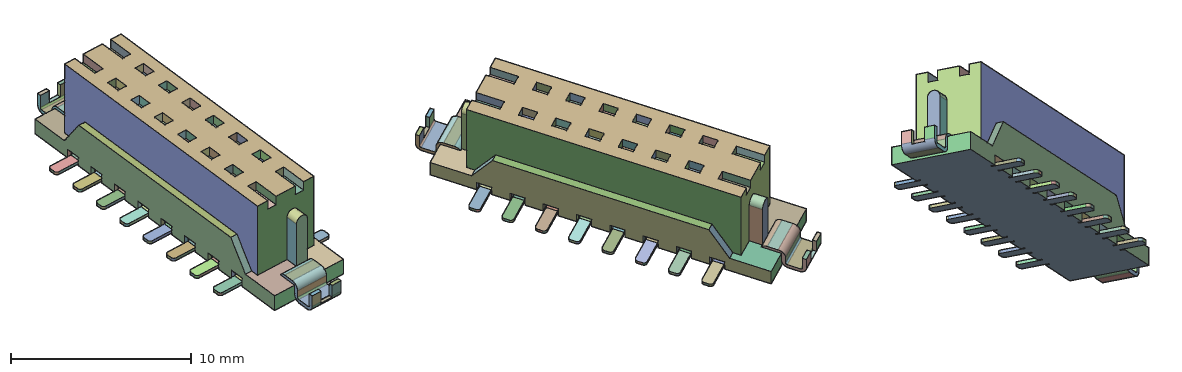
import cadquery as cq

CONTACTS_PER_ROW = 8
PITCH = 2.0
ROW_SPACING = 2.0

BASE_LENGTH = 20.5
BASE_WIDTH = 5.0
BASE_HEIGHT = 1.05
TOWER_LENGTH = 16.5
TOWER_WIDTH = 4.1
TOTAL_HEIGHT = 5.95
SKIRT_HEIGHT = 2.9
SKIRT_BOTTOM_LENGTH = 15.5
SKIRT_TOP_LENGTH = 13.0

OPENING_LENGTH = 0.9
OPENING_WIDTH = 0.6
OPENING_DEPTH = 0.6

RIB_WIDTH = 0.8
RIB_PROJECTION = 0.8
RIB_TOP = 4.45
RIB_OFFSET_Y = 0.5

TAIL_SPAN = 8.0
TAIL_WIDTH = 0.7
TAIL_THICKNESS = 0.2
TAIL_CORNER_RADIUS = 0.2
TAIL_RAMP_RISE = 0.1
TAIL_RAMP_RUN = 0.1
POCKET_WIDTH = 0.9
POCKET_HEIGHT = 0.6
POCKET_BACK_HEIGHT = TAIL_THICKNESS + TAIL_RAMP_RISE
POCKET_DEPTH = 0.25

CLIP_SPAN = 23.5
CLIP_WIDTH = 2.1
CLIP_THICKNESS = 0.25
CLIP_LEG_TOP = 1.2
CLIP_ROOF_TOP = 1.25
CLIP_HOOK_X = 8.95
CLIP_OUTER_BEND = 0.45
CLIP_INNER_BEND = 0.1
NOTCH_WIDTH = 0.8
NOTCH_BOTTOM = 0.35

contact_xs = [(i - (CONTACTS_PER_ROW - 1) / 2) * PITCH for i in range(CONTACTS_PER_ROW)]


def box(x_min, x_max, y_min, y_max, z_min, z_max):
    size = (x_max - x_min, y_max - y_min, z_max - z_min)
    return cq.Workplane("XY").box(*size, centered=False).translate((x_min, y_min, z_min))


def centered_block(length, width, height):
    return cq.Workplane("XY").box(length, width, height, centered=(True, True, False))


def make_skirt():
    """Trapezoidal side walls standing on the base along the tower."""
    half_bottom = SKIRT_BOTTOM_LENGTH / 2
    half_top = SKIRT_TOP_LENGTH / 2
    outline = [
        (-half_bottom, BASE_HEIGHT),
        (half_bottom, BASE_HEIGHT),
        (half_top, SKIRT_HEIGHT),
        (-half_top, SKIRT_HEIGHT),
    ]
    return cq.Workplane("XZ").polyline(outline).close().extrude(BASE_WIDTH / 2, both=True)


def make_rib():
    """Round-topped keying rib on the +X end face of the tower."""
    radius = RIB_WIDTH / 2
    shoulder = RIB_TOP - radius
    return (
        cq.Workplane("YZ", origin=(TOWER_LENGTH / 2, RIB_OFFSET_Y, 0))
        .moveTo(-radius, 0)
        .lineTo(radius, 0)
        .lineTo(radius, shoulder)
        .threePointArc((0, RIB_TOP), (-radius, shoulder))
        .close()
        .extrude(RIB_PROJECTION)
    )


def make_openings():
    """Contact openings; the outermost ones run out through the tower ends."""
    floor = TOTAL_HEIGHT - OPENING_DEPTH
    openings = cq.Workplane("XY")
    for x in contact_xs:
        x_min = x - OPENING_LENGTH / 2
        x_max = x + OPENING_LENGTH / 2
        if x == contact_xs[0]:
            x_min = -TOWER_LENGTH / 2
        if x == contact_xs[-1]:
            x_max = TOWER_LENGTH / 2
        for y in (-ROW_SPACING / 2, ROW_SPACING / 2):
            y_min = y - OPENING_WIDTH / 2
            openings = openings.add(box(x_min, x_max, y_min, y_min + OPENING_WIDTH, floor, TOTAL_HEIGHT))
    return openings.combine()


def make_pocket():
    """Relief pocket at x = 0 on the -Y side, its ceiling sloping down inwards."""
    face = -BASE_WIDTH / 2
    back = face + POCKET_DEPTH
    outline = [(face, 0), (face, POCKET_HEIGHT), (back, POCKET_BACK_HEIGHT), (back, 0)]
    return cq.Workplane("YZ").polyline(outline).close().extrude(POCKET_WIDTH / 2, both=True)


def make_tail():
    """Solder tail at x = 0 on the -Y side, ramping up to the back of its pocket."""
    tip = -TAIL_SPAN / 2
    back = -BASE_WIDTH / 2 + POCKET_DEPTH
    outline = [
        (tip, 0),
        (back, 0),
        (back, POCKET_BACK_HEIGHT),
        (back - TAIL_RAMP_RUN, TAIL_THICKNESS),
        (tip, TAIL_THICKNESS),
    ]
    tail = cq.Workplane("YZ").polyline(outline).close().extrude(TAIL_WIDTH / 2, both=True)
    return tail.edges("|Z and <Y").fillet(TAIL_CORNER_RADIUS)


def along_both_sides(feature):
    """Repeat a -Y side feature at every contact and mirror the row to the +Y side."""
    row = cq.Workplane("XY")
    for x in contact_xs:
        row = row.add(feature.translate((x, 0, 0)))
    row = row.combine()
    return row.union(row.mirror("XZ"))


def round_corners(strip, corners, radius):
    """Fillet the Y-direction edges of a strip that stand at the given (x, z) corners."""
    for x, z in corners:
        strip = strip.edges("|Y").edges(cq.NearestToPointSelector((x, 0, z))).fillet(radius)
    return strip


def make_clip():
    """Hold-down clip on the +X end: foot, riser and roof strip with a notched outer leg."""
    leg_outer = CLIP_SPAN / 2
    leg_inner = leg_outer - CLIP_THICKNESS
    riser_inner = BASE_LENGTH / 2
    riser_outer = riser_inner + CLIP_THICKNESS
    anchor_z = BASE_HEIGHT / 2
    outline = [
        (leg_outer, CLIP_LEG_TOP),
        (leg_outer, 0),
        (riser_inner, 0),
        (riser_inner, anchor_z),
        (CLIP_HOOK_X, anchor_z),
        (CLIP_HOOK_X, CLIP_ROOF_TOP),
        (riser_outer, CLIP_ROOF_TOP),
        (riser_outer, CLIP_THICKNESS),
        (leg_inner, CLIP_THICKNESS),
        (leg_inner, CLIP_LEG_TOP),
    ]
    strip = cq.Workplane("XZ").polyline(outline).close().extrude(CLIP_WIDTH / 2, both=True)
    outer_corners = [
        (leg_outer, 0),
        (riser_inner, 0),
        (CLIP_HOOK_X, CLIP_ROOF_TOP),
        (riser_outer, CLIP_ROOF_TOP),
    ]
    inner_corners = [(riser_outer, CLIP_THICKNESS), (leg_inner, CLIP_THICKNESS)]
    strip = round_corners(strip, outer_corners, CLIP_OUTER_BEND)
    strip = round_corners(strip, inner_corners, CLIP_INNER_BEND)
    notch = box(
        leg_outer - CLIP_OUTER_BEND, leg_outer,
        -NOTCH_WIDTH / 2, NOTCH_WIDTH / 2,
        NOTCH_BOTTOM, CLIP_LEG_TOP,
    )
    return strip.cut(notch)


def at_both_ends(feature):
    return feature.union(feature.mirror("YZ"))


result = (
    centered_block(BASE_LENGTH, BASE_WIDTH, BASE_HEIGHT)
    .union(centered_block(TOWER_LENGTH, TOWER_WIDTH, TOTAL_HEIGHT))
    .union(make_skirt())
    .union(at_both_ends(make_rib()))
    .cut(make_openings())
    .cut(along_both_sides(make_pocket()))
    .union(along_both_sides(make_tail()))
    .union(at_both_ends(make_clip()))
)